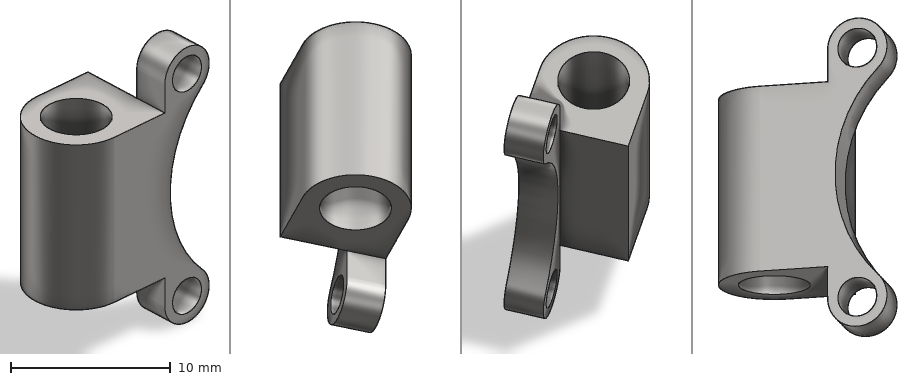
import cadquery as cq
import math

barrel_width = 7.0
barrel_height = 12.0
barrel_radius = barrel_width / 2
back_y = 4.35
bore_diameter = 4.5

bracket_length = 20.0
bracket_thickness = 2.55
eye_radius = 1.92
eye_hole_diameter = 2.5
web_depth = 0.48

eye_y = back_y + eye_radius
eye_z = bracket_length / 2 - eye_radius
web_y = back_y + web_depth

eye_rise = eye_radius - web_depth
relief_radius = (eye_z**2 + eye_rise**2 - eye_radius**2) / (2 * (eye_radius + eye_rise))
relief_y = web_y + relief_radius
tangent_share = eye_radius / (relief_radius + eye_radius)
tangent_y = eye_y + (relief_y - eye_y) * tangent_share
tangent_z = eye_z * (1 - tangent_share)

tangent_angle = math.atan2(tangent_z - eye_z, tangent_y - eye_y)
eye_mid_angle = (math.pi + tangent_angle) / 2
eye_mid_y = eye_y + eye_radius * math.cos(eye_mid_angle)
eye_mid_z = eye_z + eye_radius * math.sin(eye_mid_angle)


def make_barrel():
    return (
        cq.Workplane("XY")
        .workplane(offset=-barrel_height / 2)
        .moveTo(-barrel_radius, back_y)
        .lineTo(-barrel_radius, 0)
        .threePointArc((0, -barrel_radius), (barrel_radius, 0))
        .lineTo(barrel_radius, back_y)
        .close()
        .extrude(barrel_height)
        .faces(">Z")
        .workplane(origin=(0, 0, 0))
        .hole(bore_diameter)
    )


def make_bracket():
    plate = (
        cq.Workplane("YZ")
        .workplane(offset=barrel_radius - bracket_thickness)
        .moveTo(back_y, -eye_z)
        .lineTo(back_y, eye_z)
        .threePointArc((eye_mid_y, eye_mid_z), (tangent_y, tangent_z))
        .threePointArc((web_y, 0), (tangent_y, -tangent_z))
        .threePointArc((eye_mid_y, -eye_mid_z), (back_y, -eye_z))
        .close()
        .extrude(bracket_thickness)
    )
    eye_holes = (
        cq.Workplane("YZ")
        .workplane(offset=barrel_radius - bracket_thickness)
        .pushPoints([(eye_y, eye_z), (eye_y, -eye_z)])
        .circle(eye_hole_diameter / 2)
        .extrude(bracket_thickness)
    )
    return plate.cut(eye_holes)


result = make_barrel().union(make_bracket())